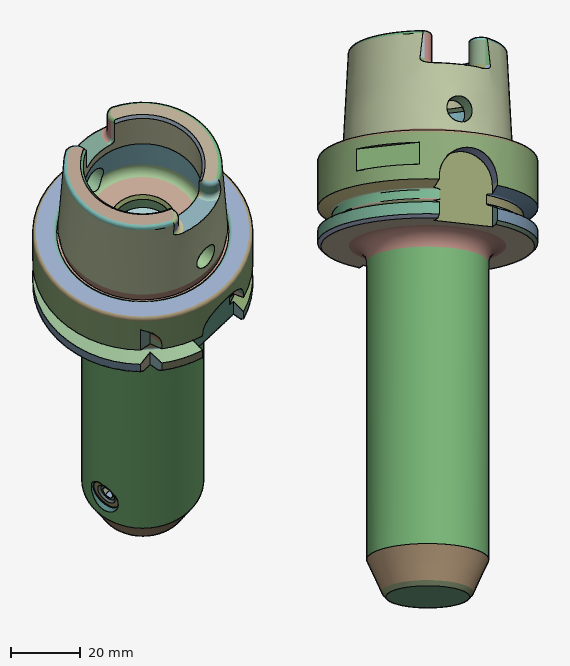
import cadquery as cq
import math

total_height = 162.0
flange_face_z = 130.1
flange_bottom_z = 104.0
neck_top_z = 132.2
groove_center_z = 112.0
tip_cone_top_z = 11.0

taper_top_radius = 22.7
taper_base_radius = 24.3
rim_outer_fillet = 1.1
rim_inner_chamfer = 0.8
neck_radius = 23.8
recess_radius = 24.6
recess_depth = 1.0
recess_fillet = 1.0
bore_radius = 17.0
bore_straight_depth = 13.0
hollow_radius = 18.5
hollow_floor_fillet = 2.6
hollow_shoulder_height = 0.8
hollow_floor_z = 134.5
coolant_radius = 9.7
coolant_chamfer = 1.0
coolant_depth = 4.9
cross_hole_radius = 3.9
cross_hole_z = 138.7

drive_slot_half_width = 6.2
drive_slot_mouth_radius = 3.2
drive_slot_relief_x = 20.4
drive_slot_floor_fillet = 1.5
deep_slot_floor_z = 152.1
shallow_slot_floor_z = 156.0

flange_diameter = 63.0
flange_radius = flange_diameter / 2
flange_top_fillet = 1.0
flange_bottom_chamfer = 1.0
groove_radius = 27.4
groove_floor_half_height = 1.6
groove_mouth_half_height = 3.4
groove_floor_fillet = 0.5
keyway_width = 18.0
keyway_floor_x = 26.4
keyway_arc_z = 116.3
corner_slot_floor_x = 20.0
corner_slot_wall_y = -20.1
corner_slot_arc_radius = 8.6
corner_slot_arc_z = 117.6
chip_flat_distance = 30.0
chip_flat_angle = 135
chip_flat_bottom_z = 119.7
chip_flat_top_z = 126.2

shank_radius = 17.5
shank_fillet = 5.0
tip_radius = 12.0
tip_cone_end_radius = 13.1
tip_edge_height = 1.3

screw_z = 20.2
screw_hole_radius = 4.7
screw_mouth_radius = 5.8
screw_face_depth = 1.5
socket_mouth_radius = 3.2
socket_lead_depth = 0.6
hex_across_flats = 3.5
socket_depth = 3.2

cut_margin = 8.1


def body():
    """Solid of revolution: taper, neck, grooved flange, long shank and tip."""
    return (
        cq.Workplane("XZ")
        .moveTo(0, 0)
        .lineTo(tip_radius, 0)
        .lineTo(tip_cone_end_radius, tip_edge_height)
        .lineTo(shank_radius, tip_cone_top_z)
        .lineTo(shank_radius, flange_bottom_z - shank_fillet)
        .radiusArc((shank_radius + shank_fillet, flange_bottom_z), shank_fillet)
        .lineTo(flange_radius - flange_bottom_chamfer, flange_bottom_z)
        .lineTo(flange_radius, flange_bottom_z + flange_bottom_chamfer)
        .lineTo(flange_radius, groove_center_z - groove_mouth_half_height)
        .lineTo(groove_radius, groove_center_z - groove_floor_half_height)
        .lineTo(groove_radius, groove_center_z + groove_floor_half_height)
        .lineTo(flange_radius, groove_center_z + groove_mouth_half_height)
        .lineTo(flange_radius, flange_face_z - flange_top_fillet)
        .radiusArc((flange_radius - flange_top_fillet, flange_face_z), -flange_top_fillet)
        .lineTo(recess_radius + recess_fillet, flange_face_z)
        .radiusArc((recess_radius, flange_face_z - recess_fillet), -recess_fillet)
        .lineTo(neck_radius, flange_face_z - recess_depth)
        .lineTo(taper_base_radius, neck_top_z)
        .lineTo(taper_top_radius, total_height)
        .lineTo(0, total_height)
        .close()
        .revolve(360, (0, 0), (0, 1))
    )


def hollow():
    """Bore with a wider chamber below its straight mouth and a blind centre pocket."""
    mouth_z = total_height - bore_straight_depth
    pocket_floor_z = hollow_floor_z - coolant_depth
    fillet_top_z = hollow_floor_z + hollow_floor_fillet
    return (
        cq.Workplane("XZ")
        .moveTo(0, pocket_floor_z)
        .lineTo(coolant_radius - coolant_chamfer, pocket_floor_z)
        .lineTo(coolant_radius - coolant_chamfer, hollow_floor_z - coolant_chamfer)
        .lineTo(coolant_radius, hollow_floor_z)
        .lineTo(hollow_radius - hollow_floor_fillet, hollow_floor_z)
        .radiusArc((hollow_radius, fillet_top_z), -hollow_floor_fillet)
        .lineTo(hollow_radius, mouth_z - hollow_shoulder_height)
        .lineTo(bore_radius, mouth_z)
        .lineTo(bore_radius, total_height - rim_inner_chamfer)
        .lineTo(bore_radius + rim_inner_chamfer, total_height)
        .lineTo(0, total_height)
        .close()
        .revolve(360, (0, 0), (0, 1))
    )


def drive_slot(floor_z):
    """Slot on the +X side of the rim; quarter rounds lead its walls out to a flat relief plane."""
    round_start_x = drive_slot_relief_x - drive_slot_mouth_radius
    mouth_half_width = drive_slot_half_width + drive_slot_mouth_radius
    outer_x = taper_base_radius + cut_margin
    outer_y = taper_base_radius
    cutter = (
        cq.Workplane("XY")
        .workplane(offset=floor_z)
        .moveTo(0, -drive_slot_half_width)
        .lineTo(round_start_x, -drive_slot_half_width)
        .radiusArc((drive_slot_relief_x, -mouth_half_width), drive_slot_mouth_radius)
        .lineTo(drive_slot_relief_x, -outer_y)
        .lineTo(outer_x, -outer_y)
        .lineTo(outer_x, outer_y)
        .lineTo(drive_slot_relief_x, outer_y)
        .lineTo(drive_slot_relief_x, mouth_half_width)
        .radiusArc((round_start_x, drive_slot_half_width), drive_slot_mouth_radius)
        .lineTo(0, drive_slot_half_width)
        .close()
        .extrude(total_height - floor_z + cut_margin)
    )
    wall_foot = cq.selectors.BoxSelector(
        (drive_slot_floor_fillet, -outer_y, floor_z - drive_slot_floor_fillet),
        (drive_slot_relief_x + drive_slot_floor_fillet, outer_y, floor_z + drive_slot_floor_fillet),
    )
    return cutter.edges(wall_foot).fillet(drive_slot_floor_fillet)


def domed_slot(floor_x, center_y, half_width, arc_z):
    """Round-topped slot cut inward along X to floor_x and open at the flange bottom."""
    bottom_z = flange_bottom_z - cut_margin
    return (
        cq.Workplane("YZ", origin=(floor_x, center_y, 0))
        .moveTo(-half_width, bottom_z)
        .lineTo(-half_width, arc_z)
        .threePointArc((0, arc_z + half_width), (half_width, arc_z))
        .lineTo(half_width, bottom_z)
        .close()
        .extrude(flange_radius)
    )


def chip_flat():
    """Block that leaves a flat facing -X +Y on the upper flange."""
    height = chip_flat_top_z - chip_flat_bottom_z
    return (
        cq.Workplane("XY")
        .box(cut_margin, flange_diameter, height, centered=(False, True, False))
        .translate((chip_flat_distance, 0, chip_flat_bottom_z))
        .rotate((0, 0, 0), (0, 0, 1), chip_flat_angle)
    )


def cone_toward_front(large_radius, depth, opening_y):
    """45 degree countersink that opens toward -Y at opening_y."""
    return cq.Workplane(
        cq.Solid.makeCone(
            large_radius - depth,
            large_radius,
            depth,
            pnt=cq.Vector(0, opening_y + depth, screw_z),
            dir=cq.Vector(0, -1, 0),
        )
    )


def screw_recess():
    """Countersunk screw hole on -Y, with the hexagon socket in the screw face."""
    face_y = -shank_radius + screw_face_depth
    hex_corner_diameter = hex_across_flats / math.cos(math.pi / 6)
    screw_face = cq.Workplane("XZ", origin=(0, face_y, screw_z))
    hole = screw_face.circle(screw_hole_radius).extrude(screw_face_depth + cut_margin)
    hole_mouth = cone_toward_front(screw_mouth_radius, screw_mouth_radius - screw_hole_radius, -shank_radius)
    socket = screw_face.polygon(6, hex_corner_diameter).extrude(-socket_depth)
    socket_lead = cone_toward_front(socket_mouth_radius, socket_lead_depth, face_y)
    return hole.union(hole_mouth).union(socket).union(socket_lead)


def round_groove_floor(part):
    """Round the two corners where the gripper groove floor meets its flanks."""
    half_width = groove_radius + groove_floor_fillet
    half_height = groove_floor_half_height + groove_floor_fillet
    floor_edges = cq.selectors.BoxSelector(
        (-half_width, -half_width, groove_center_z - half_height),
        (half_width, half_width, groove_center_z + half_height),
        boundingbox=True,
    )
    return part.edges(floor_edges).fillet(groove_floor_fillet)


half_turn = ((0, 0, 0), (0, 0, 1), 180)

slotted_body = (
    round_groove_floor(body())
    .cut(drive_slot(shallow_slot_floor_z))
    .cut(drive_slot(deep_slot_floor_z).rotate(*half_turn))
    .faces(">Z")
    .edges()
    .fillet(rim_outer_fillet)
)

keyway = domed_slot(keyway_floor_x, 0, keyway_width / 2, keyway_arc_z)
corner_slot = domed_slot(
    corner_slot_floor_x,
    corner_slot_wall_y - corner_slot_arc_radius,
    corner_slot_arc_radius,
    corner_slot_arc_z,
)
cross_hole = (
    cq.Workplane("YZ", origin=(0, 0, cross_hole_z))
    .circle(cross_hole_radius)
    .extrude(taper_base_radius + cut_margin, both=True)
)

result = (
    slotted_body
    .cut(hollow())
    .cut(cross_hole)
    .cut(keyway)
    .cut(keyway.rotate(*half_turn))
    .cut(corner_slot)
    .cut(chip_flat())
    .cut(screw_recess())
)